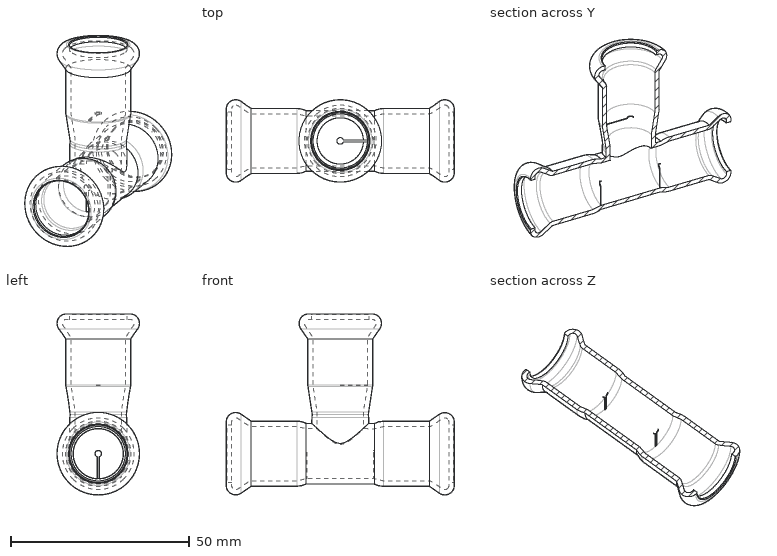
import cadquery as cq
import math

run_length = 64.0
branch_height = 39.2

socket_radius = 9.15
bore_radius = 7.6
bead_radius = 11.6
bead_round = 2.7
bead_centre_radius = bead_radius - bead_round
bead_length = 7.05
lip_radius = 8.3
throat_radius = 8.05
lip_chamfer = lip_radius - throat_radius
groove_round = 1.15
groove_start = bead_round - groove_round
groove_cone_radius = 7.95
groove_cone_depth = 6.2
bore_start_depth = 7.2

run_neck_radius = 8.5
run_neck_bore = 14.0 / 2
run_socket_depth = 19.9
run_neck_depth = 22.45
branch_neck_radius = 8.0
branch_neck_bore = 13.0 / 2
branch_socket_depth = 20.0
branch_taper_depth = 20.35
branch_neck_depth = 27.5

vee_width = 1.55
vee_depth = 0.095
vee_radius = branch_neck_radius - vee_depth

taper_start_radius = 9.1

marker_radius = 1.85 / 2
marker_arm_width = 0.65
marker_thickness = 0.2


def revolve_along_z(profile):
    """Revolve a closed (radius, height) profile around the Z axis."""
    return profile.close().revolve(360, (0, 0, 0), (0, 1, 0))


def tangent_point(mouth, section_radius, end_radius, end_depth):
    """Point where a slope ending at the given radius and depth leaves the bead's round section."""
    across = end_radius - bead_centre_radius
    along = end_depth - bead_round
    angle = math.atan2(across, along) + math.acos(section_radius / math.hypot(across, along))
    return (bead_centre_radius + section_radius * math.sin(angle),
            mouth - bead_round - section_radius * math.cos(angle))


def bead_outline(mouth):
    """Outer outline of a socket from its axis at the origin to the bead's sloping back."""
    return (
        cq.Workplane("XZ")
        .lineTo(0, mouth)
        .lineTo(bead_centre_radius, mouth)
        .threePointArc(
            (bead_radius, mouth - bead_round),
            tangent_point(mouth, bead_round, socket_radius, bead_length),
        )
        .lineTo(socket_radius, mouth - bead_length)
    )


def run_outer(mouth):
    """One half of the run's outside, with a rounded shoulder down to the neck."""
    shoulder_length = run_neck_depth - run_socket_depth
    shoulder_drop = socket_radius - run_neck_radius
    arc_radius = (shoulder_length**2 + shoulder_drop**2) / (2 * shoulder_drop)
    half_length = shoulder_length / 2
    middle_drop = arc_radius - math.sqrt(arc_radius**2 - half_length**2)
    return revolve_along_z(
        bead_outline(mouth)
        .lineTo(socket_radius, mouth - run_socket_depth)
        .threePointArc(
            (socket_radius - middle_drop, mouth - run_socket_depth - half_length),
            (run_neck_radius, mouth - run_neck_depth),
        )
        .lineTo(run_neck_radius, 0)
    )


def branch_outer(mouth):
    """The branch's outside, with a long taper and a vee groove round its neck."""
    vee_top = mouth - branch_neck_depth
    return revolve_along_z(
        bead_outline(mouth)
        .lineTo(socket_radius, mouth - branch_socket_depth)
        .tangentArcPoint((taper_start_radius, mouth - branch_taper_depth), relative=False)
        .lineTo(branch_neck_radius, vee_top)
        .lineTo(vee_radius, vee_top - vee_width / 2)
        .lineTo(branch_neck_radius, vee_top - vee_width)
        .lineTo(branch_neck_radius, 0)
    )


def passage(mouth, socket_depth, neck_depth, neck_bore):
    """Hollow of one arm: mouth, seal groove, socket bore and neck bore."""
    return revolve_along_z(
        cq.Workplane("XZ")
        .lineTo(0, mouth)
        .lineTo(lip_radius, mouth)
        .lineTo(throat_radius, mouth - lip_chamfer)
        .lineTo(throat_radius, mouth - groove_start)
        .lineTo(bead_centre_radius, mouth - groove_start)
        .threePointArc(
            (bead_centre_radius + groove_round, mouth - bead_round),
            tangent_point(mouth, groove_round, groove_cone_radius, groove_cone_depth),
        )
        .lineTo(groove_cone_radius, mouth - groove_cone_depth)
        .tangentArcPoint((bore_radius, mouth - bore_start_depth), relative=False)
        .lineTo(bore_radius, mouth - socket_depth)
        .lineTo(neck_bore, mouth - neck_depth)
        .lineTo(neck_bore, 0)
    )


def turn_to_run(shape, side):
    """Turn a shape from the Z axis to +X (side 1) or -X (side -1)."""
    return shape.rotate((0, 0, 0), (0, 1, 0), side * 90)


def make_tee():
    """One-piece fitting: the branch and both run halves, hollowed by three passages."""
    run_mouth = run_length / 2
    tee = branch_outer(branch_height)
    for side in (1, -1):
        tee = tee.union(turn_to_run(run_outer(run_mouth), side))
    tee = tee.cut(passage(branch_height, branch_taper_depth, branch_neck_depth, branch_neck_bore))
    run_passage = passage(run_mouth, run_socket_depth, run_neck_depth, run_neck_bore)
    for side in (1, -1):
        tee = tee.cut(turn_to_run(run_passage, side))
    return tee


def make_marker(height, reach, direction):
    """Flat disc on the Z axis whose arm points along +X (direction 1) or -X (-1)."""
    arm = (
        cq.Workplane("XY", origin=(direction * reach / 2, 0, height))
        .rect(reach, marker_arm_width)
        .extrude(-marker_thickness)
    )
    disc = cq.Workplane("XY", origin=(0, 0, height)).circle(marker_radius).extrude(-marker_thickness)
    bore = cq.Workplane("XY", origin=(0, 0, height)).circle(reach).extrude(-marker_thickness)
    return disc.union(arm).intersect(bore)


tee = make_tee()
markers = [make_marker(branch_height - branch_socket_depth, bore_radius, 1)]
for side in (1, -1):
    run_marker = make_marker(run_length / 2 - run_neck_depth, run_neck_bore, side)
    markers.append(turn_to_run(run_marker, side))

result = cq.Compound.makeCompound([tee.val(), *[marker.val() for marker in markers]])